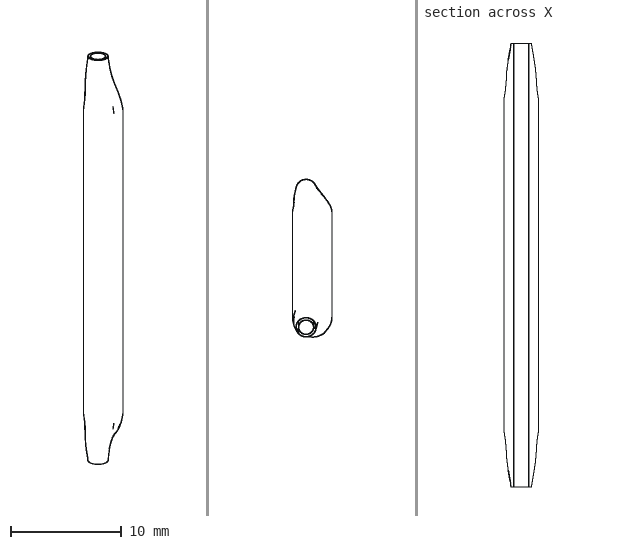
import cadquery as cq
import math

total_length = 40.0
barrel_diameter = 3.6
nozzle_length = 5.0
tip_diameter = 1.86
tip_straight_length = 1.0
shell_wall = 0.05
tube_outer_diameter = 1.4
tube_wall = 0.05
loft_steps = 20

barrel_length = total_length - 2 * nozzle_length
barrel_radius = barrel_diameter / 2
tip_center_x = tip_diameter / 2 - barrel_radius

bend_height = nozzle_length - tip_straight_length
bend_width = barrel_diameter - tip_diameter
bend_radius = (bend_height**2 + bend_width**2) / (4 * bend_width)


def arc_setback(distance):
    """Sideways departure of a bend arc from its start tangent, after a distance along Z."""
    return bend_radius - math.sqrt(bend_radius**2 - distance**2)


def nozzle_x_width(height):
    """Width of the nozzle along X at a height above the barrel end."""
    if height <= bend_height / 2:
        return barrel_diameter - arc_setback(height)
    if height <= bend_height:
        return tip_diameter + arc_setback(bend_height - height)
    return tip_diameter


def nozzle_y_width(height):
    """Width of the nozzle along Y, tapering evenly from the barrel to the tip."""
    return barrel_diameter + (tip_diameter - barrel_diameter) * height / nozzle_length


def nozzle_section(height, inset):
    """Oval touching the barrel's -X side at a height above the barrel end, shrunk by inset."""
    x_radius = nozzle_x_width(height) / 2
    y_radius = nozzle_y_width(height) / 2
    center = (x_radius - barrel_radius, 0, barrel_length / 2 + height)
    oval = cq.Workplane("XY", origin=center).ellipse(x_radius - inset, y_radius - inset)
    return oval.wire().val()


def nozzle_loft(inset):
    """Upper nozzle as a full solid, shrunk all round by inset."""
    heights = [nozzle_length * step / loft_steps for step in range(loft_steps + 1)]
    sections = [nozzle_section(height, inset) for height in heights]
    return cq.Workplane(cq.Solid.makeLoft(sections))


def round_bar(diameter, length, center_x):
    """Upright cylinder centred on the XY plane."""
    return cq.Workplane("XY").center(center_x, 0).cylinder(length, diameter / 2)


def make_shell():
    """Thin outer shell: a barrel with a nozzle at each end, open at both tips."""
    barrel = round_bar(barrel_diameter, barrel_length, 0).cut(
        round_bar(barrel_diameter - 2 * shell_wall, barrel_length, 0)
    )
    upper_nozzle = nozzle_loft(0).cut(nozzle_loft(shell_wall))
    return barrel.union(upper_nozzle).union(upper_nozzle.mirror("XY"))


def make_inner_tube():
    """Straight thin tube running from tip to tip, concentric with both openings."""
    return round_bar(tube_outer_diameter, total_length, tip_center_x).cut(
        round_bar(tube_outer_diameter - 2 * tube_wall, total_length, tip_center_x)
    )


shell = make_shell()
inner_tube = make_inner_tube()

result = cq.Compound.makeCompound([shell.val(), inner_tube.val()])